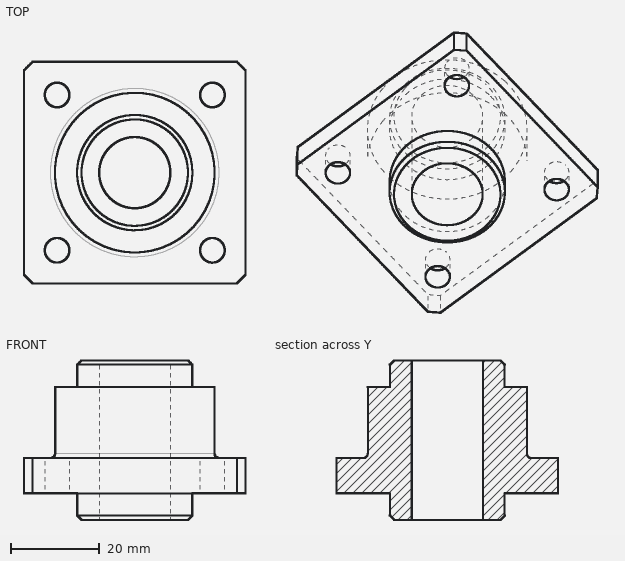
import cadquery as cq

flange_side = 50.0
flange_thickness = 8.0
corner_chamfer = 2.0
bolt_hole_diameter = 5.5
bolt_hole_spacing = 35.0

boss_diameter = 36.0
boss_height = 16.0
boss_root_fillet = 1.0

sleeve_diameter = 26.0
sleeve_projection = 6.0
sleeve_chamfer = 1.0
bore_diameter = 16.0

flange_top = flange_thickness
boss_top = flange_top + boss_height
sleeve_bottom = -sleeve_projection
sleeve_length = boss_top + 2 * sleeve_projection


def make_flange():
    """Square plate with its four vertical corners chamfered."""
    plate = cq.Workplane("XY").rect(flange_side, flange_side).extrude(flange_thickness)
    return plate.edges("|Z").chamfer(corner_chamfer)


def add_boss(body):
    """Cylinder on top of the flange, blended into it by a root fillet."""
    boss_base = cq.Workplane("XY").workplane(offset=flange_top)
    boss = boss_base.circle(boss_diameter / 2).extrude(boss_height)
    root_edge = "%CIRCLE"
    flange_face = body.union(boss).faces(">Z[-2]")
    return flange_face.edges(root_edge).fillet(boss_root_fillet)


def make_sleeve():
    """Cylinder with both end rims chamfered."""
    sleeve_base = cq.Workplane("XY").workplane(offset=sleeve_bottom)
    sleeve = sleeve_base.circle(sleeve_diameter / 2).extrude(sleeve_length)
    return sleeve.faces("<Z or >Z").edges().chamfer(sleeve_chamfer)


def cut_bore(body):
    """Through bore along the sleeve axis."""
    bore_base = cq.Workplane("XY").workplane(offset=sleeve_bottom)
    bore = bore_base.circle(bore_diameter / 2).extrude(sleeve_length)
    return body.cut(bore)


def cut_bolt_holes(body):
    """Four through holes in a square pattern on the flange."""
    holes = (
        cq.Workplane("XY")
        .rect(bolt_hole_spacing, bolt_hole_spacing, forConstruction=True)
        .vertices()
        .circle(bolt_hole_diameter / 2)
        .extrude(flange_thickness)
    )
    return body.cut(holes)


result = add_boss(make_flange())
result = result.union(make_sleeve())
result = cut_bore(result)
result = cut_bolt_holes(result)